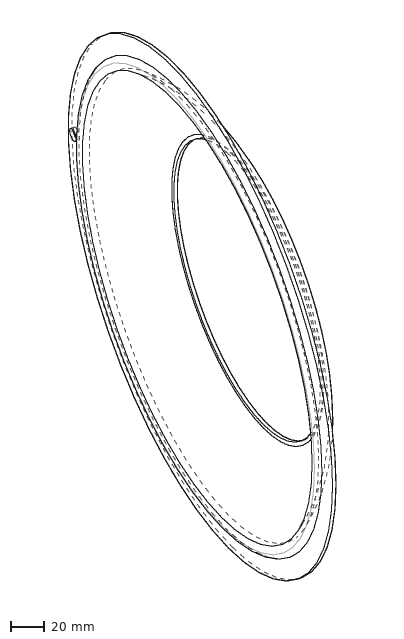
import cadquery as cq
import math

outer_radius = 175.0
bore_radius = 97.0
total_depth = 37.5
sheet_thickness = 2.5

flange_front = 3.0
flange_back = flange_front + sheet_thickness
hole_diameter = 8.5
hole_radial_position = 168.5

bead_crest_radius = 157.0
bead_round_radius = 4.0
bead_blend_depth = 1.0

bowl_radius = 78.5
bowl_center_radius = 88.0
brim_width = 2.8
brim_radius = bore_radius + brim_width
brim_front = total_depth - sheet_thickness

bowl_center_depth = total_depth - math.sqrt(bowl_radius**2 - (brim_radius - bowl_center_radius)**2)
inner_bowl_radius = bowl_radius - sheet_thickness


def bowl_point_at_depth(arc_radius, depth):
    radius = bowl_center_radius + math.sqrt(arc_radius**2 - (depth - bowl_center_depth)**2)
    return (radius, depth)


def bowl_point_at_radius(arc_radius, radius):
    depth = bowl_center_depth + math.sqrt(arc_radius**2 - (radius - bowl_center_radius)**2)
    return (radius, depth)


def bowl_arc_middle(arc_radius, start, end):
    return bowl_point_at_radius(arc_radius, (start[0] + end[0]) / 2)


def bead_point(angle):
    """Point on the bead's outer round, at an angle away from its crest."""
    radius = bead_crest_radius + bead_round_radius * math.sin(angle)
    depth = bead_round_radius * (1 - math.cos(angle))
    return (radius, depth)


def make_ring():
    bead_angle = math.acos(1 - flange_front / bead_round_radius)
    bowl_front = bowl_point_at_depth(inner_bowl_radius, bead_blend_depth)
    bowl_back = bowl_point_at_depth(bowl_radius, flange_back)
    inner_brim = bowl_point_at_radius(inner_bowl_radius, brim_radius)
    outer_brim = (brim_radius, total_depth)
    profile = (
        cq.Workplane("XY")
        .moveTo(outer_radius, flange_front)
        .lineTo(*bead_point(bead_angle))
        .threePointArc(bead_point(bead_angle / 2), bead_point(0))
        .tangentArcPoint(bowl_front, relative=False)
        .threePointArc(bowl_arc_middle(inner_bowl_radius, bowl_front, inner_brim), inner_brim)
        .lineTo(brim_radius, brim_front)
        .lineTo(bore_radius, brim_front)
        .lineTo(bore_radius, total_depth)
        .lineTo(*outer_brim)
        .threePointArc(bowl_arc_middle(bowl_radius, outer_brim, bowl_back), bowl_back)
        .lineTo(outer_radius, flange_back)
        .close()
    )
    return profile.revolve(360, (0, 0, 0), (0, 1, 0))


def make_flange_hole():
    return (
        cq.Workplane("XZ")
        .center(-hole_radial_position, 0)
        .circle(hole_diameter / 2)
        .extrude(-total_depth)
    )


result = make_ring().cut(make_flange_hole())